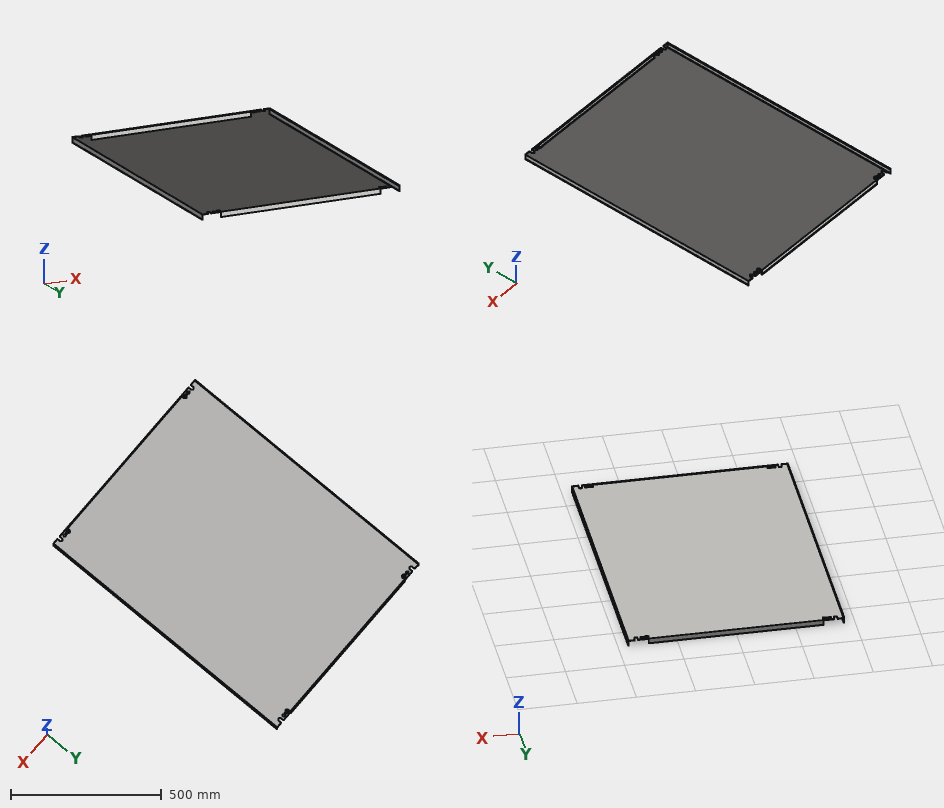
import cadquery as cq

length_x = 730.0
width_y = 970.0
height = 20.0
sheet = 2.5

end_flange_inset = 70.0

slot_width = 11.0
slot_depth = 16.0
slot_inset = 28.0

keyhole_edge_distance = 10.5
head_inset = 65.0
head_diameter = 7.0
counterbore_diameter = 13.0
counterbore_depth = 1.5
neck_width = 4.0
tail_inset = 47.0
tail_diameter = 8.0

half_x = length_x / 2
half_y = width_y / 2
sheet_bottom = height - sheet


def box_on_base(size_x, size_y, size_z):
    """Box centred on the Z axis and standing on Z = 0."""
    return cq.Workplane("XY").box(size_x, size_y, size_z, centered=(True, True, False))


def panel():
    """Flat top sheet with a full-length flange folded down along each X side."""
    inside = box_on_base(length_x - 2 * sheet, width_y, sheet_bottom)
    return box_on_base(length_x, width_y, height).cut(inside)


def end_flange(y_side):
    """Flange folded down along the middle of one Y edge."""
    flange = box_on_base(length_x - 2 * end_flange_inset, sheet, height)
    return flange.translate((0, y_side * (half_y - sheet / 2), 0))


def round_cut(x, y, diameter, depth=sheet):
    """Cylinder reaching down from the top face of the sheet."""
    plane = cq.Workplane("XY", origin=(x, y, height - depth))
    return plane.circle(diameter / 2).extrude(depth)


def rectangular_cut(x, y, size_x, size_y):
    """Rectangular block through the whole sheet."""
    plane = cq.Workplane("XY", origin=(x, y, sheet_bottom))
    return plane.rect(size_x, size_y).extrude(sheet)


def edge_slot(x_side, y_side):
    """Round-ended slot open to one Y edge."""
    x = x_side * (half_x - slot_inset)
    straight_length = slot_depth - slot_width / 2
    round_end = round_cut(x, y_side * (half_y - straight_length), slot_width)
    straight_y = y_side * (half_y - straight_length / 2)
    return round_end.union(rectangular_cut(x, straight_y, slot_width, straight_length))


def keyhole(x_side, y_side):
    """Counterbored head joined by a neck to a round tail nearer the X side."""
    y = y_side * (half_y - keyhole_edge_distance)
    head_x = x_side * (half_x - head_inset)
    tail_x = x_side * (half_x - tail_inset)
    head = round_cut(head_x, y, head_diameter)
    counterbore = round_cut(head_x, y, counterbore_diameter, counterbore_depth)
    tail = round_cut(tail_x, y, tail_diameter)
    neck = rectangular_cut((head_x + tail_x) / 2, y, head_inset - tail_inset, neck_width)
    return head.union(counterbore).union(tail).union(neck)


result = panel()
for y_side in (-1, 1):
    result = result.union(end_flange(y_side))
for x_side in (-1, 1):
    for y_side in (-1, 1):
        result = result.cut(edge_slot(x_side, y_side))
        result = result.cut(keyhole(x_side, y_side))